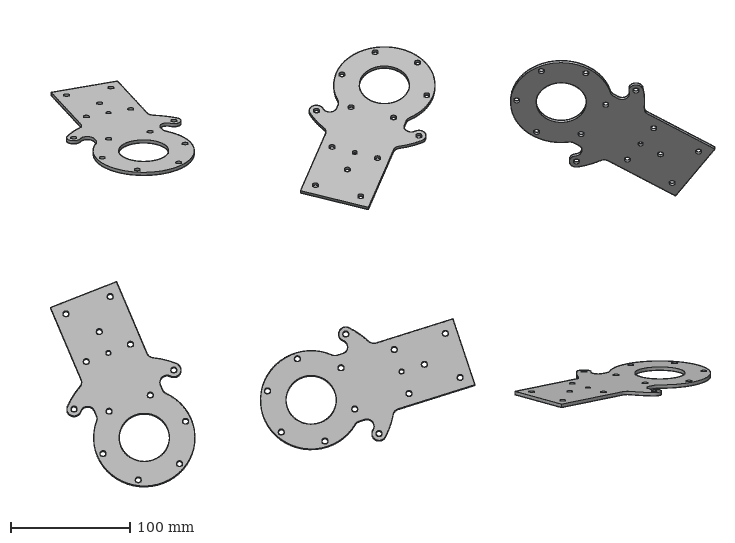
import cadquery as cq
import math

length = 177.3
thickness = 3.0
half_width = 30.0

head_radius = 42.5
head_x = length - head_radius
bore_diameter = 42.0
bolt_circle_radius = 37.5
bolt_count = 6

ear_radius = 6.0
ear_offset = 45.2
ear_x = head_x - ear_offset
ear_arc_radius = math.hypot(ear_offset, ear_offset) + ear_radius
blend_radius = ear_radius

hole_diameter = 5.0
small_hole_diameter = 4.0
tail_hole_columns = (10.0, 55.0)
tail_hole_y = 20.0
center_hole_x = 35.0
small_hole_x = tail_hole_columns[1]


def blend_center(circle_x, circle_y, circle_radius, side):
    """Center of a blend touching the plate edge and a circle; side is -1 for left, 1 for right."""
    y = half_width + blend_radius
    reach = circle_radius + blend_radius
    return circle_x + side * math.sqrt(reach**2 - (y - circle_y) ** 2), y


def toward(start, target, distance):
    """Point at the given distance from start along the ray to target."""
    angle = math.atan2(target[1] - start[1], target[0] - start[0])
    return start[0] + distance * math.cos(angle), start[1] + distance * math.sin(angle)


def arc_middle(center, radius, first, last):
    """Middle of the shorter arc between two points on a circle."""
    chord_middle = ((first[0] + last[0]) / 2, (first[1] + last[1]) / 2)
    return toward(center, chord_middle, radius)


def base_plate():
    """Plate with both ears; its upper outline is mirrored about the X axis."""
    head = (head_x, 0)
    ear = (ear_x, ear_offset)
    rear_blend = blend_center(*head, ear_arc_radius, -1)
    front_blend = blend_center(*ear, ear_radius, 1)
    head_blend = blend_center(*head, head_radius, -1)

    rear_edge = (rear_blend[0], half_width)
    rear_end = toward(rear_blend, head, blend_radius)
    ear_start = toward(head, ear, ear_arc_radius)
    ear_end = toward(ear, front_blend, ear_radius)
    start_angle = math.atan2(ear_start[1] - ear[1], ear_start[0] - ear[0])
    end_angle = math.atan2(ear_end[1] - ear[1], ear_end[0] - ear[0])
    tip_angle = (start_angle + end_angle) / 2
    ear_tip = (ear[0] + ear_radius * math.cos(tip_angle), ear[1] + ear_radius * math.sin(tip_angle))
    front_edge = (front_blend[0], half_width)
    front_middle = arc_middle(front_blend, blend_radius, ear_end, front_edge)
    head_edge = (head_blend[0], half_width)
    head_start = toward(head_blend, head, blend_radius)
    head_end = (length, 0)
    head_top = (head_x, head_radius)

    return (
        cq.Workplane("XY")
        .lineTo(0, half_width)
        .lineTo(*rear_edge)
        .threePointArc(arc_middle(rear_blend, blend_radius, rear_edge, rear_end), rear_end)
        .threePointArc(arc_middle(head, ear_arc_radius, rear_end, ear_start), ear_start)
        .threePointArc(ear_tip, ear_end)
        .threePointArc(front_middle, front_edge)
        .lineTo(*head_edge)
        .threePointArc(arc_middle(head_blend, blend_radius, head_edge, head_start), head_start)
        .threePointArc(head_top, head_end)
        .mirrorX()
        .extrude(thickness, clean=False)
    )


def drill(points, diameter):
    """Through-hole cutters at the given points."""
    return cq.Workplane("XY").pushPoints(points).circle(diameter / 2).extrude(thickness, clean=False)


mounting_points = [(x, side * tail_hole_y) for x in tail_hole_columns for side in (-1, 1)]
mounting_points += [(ear_x, side * ear_offset) for side in (-1, 1)]
mounting_points.append((center_hole_x, 0))

for index in range(bolt_count):
    bolt_angle = math.pi / 2 + 2 * math.pi * index / bolt_count
    bolt_x = head_x + bolt_circle_radius * math.cos(bolt_angle)
    bolt_y = bolt_circle_radius * math.sin(bolt_angle)
    mounting_points.append((bolt_x, bolt_y))

result = (
    base_plate()
    .cut(drill(mounting_points, hole_diameter), clean=False)
    .cut(drill([(small_hole_x, 0)], small_hole_diameter), clean=False)
    .cut(drill([(head_x, 0)], bore_diameter), clean=False)
)